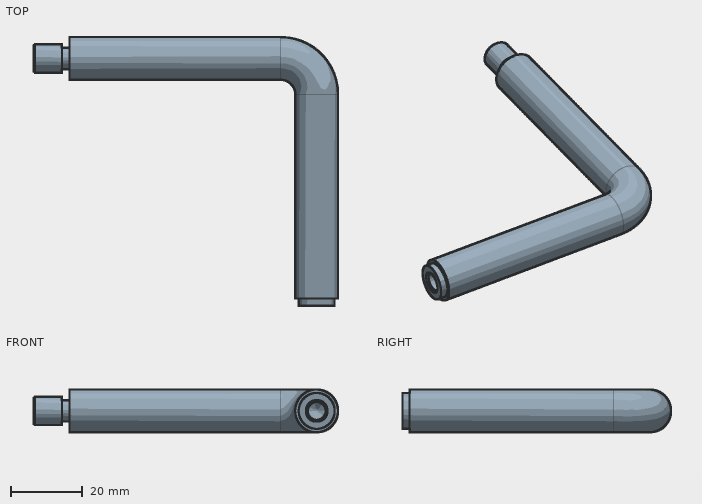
import cadquery as cq
import math

length_x = 85.0
length_y = 75.0
rod_diameter = 12.0
bend_radius = 10.0

stud_diameter = 8.0
stud_length = 8.0
stud_chamfer = 0.5
neck_diameter = 6.0
neck_length = 2.0

spigot_diameter = 10.0
spigot_length = 2.0
hole_diameter = 5.0
hole_mouth_diameter = 6.0
hole_depth = 10.0
drill_tip_angle = 118.0

rod_radius = rod_diameter / 2
stud_end_x = rod_radius - length_x
neck_start_x = stud_end_x + stud_length
rod_start_x = neck_start_x + neck_length
spigot_end_y = rod_radius - length_y
rod_end_y = spigot_end_y + spigot_length


def bent_rod():
    """Round rod running along +X, then turning through 90 degrees to -Y."""
    path = (
        cq.Workplane("XY")
        .moveTo(rod_start_x, 0)
        .lineTo(-bend_radius, 0)
        .tangentArcPoint((0, -bend_radius), relative=False)
        .lineTo(0, rod_end_y)
    )
    return cq.Workplane("YZ", origin=(rod_start_x, 0, 0)).circle(rod_radius).sweep(path)


def stud():
    """Chamfered stud joined to the rod by a narrower neck."""
    head = (
        cq.Workplane("YZ", origin=(stud_end_x, 0, 0))
        .circle(stud_diameter / 2)
        .extrude(stud_length)
        .faces("<X")
        .chamfer(stud_chamfer)
    )
    neck = (
        cq.Workplane("YZ", origin=(neck_start_x, 0, 0))
        .circle(neck_diameter / 2)
        .extrude(neck_length)
    )
    return head.union(neck)


def spigot():
    """Short reduced collar beyond the rod shoulder."""
    return (
        cq.Workplane("XZ", origin=(0, rod_end_y, 0))
        .circle(spigot_diameter / 2)
        .extrude(spigot_length)
    )


def blind_hole():
    """Drilled hole with a 45 degree mouth chamfer and a conical bottom."""
    hole_radius = hole_diameter / 2
    mouth_radius = hole_mouth_diameter / 2
    mouth_depth = mouth_radius - hole_radius
    tip_depth = hole_radius / math.tan(math.radians(drill_tip_angle / 2))
    bottom_y = spigot_end_y + hole_depth
    return (
        cq.Workplane("XY")
        .moveTo(0, spigot_end_y)
        .lineTo(mouth_radius, spigot_end_y)
        .lineTo(hole_radius, spigot_end_y + mouth_depth)
        .lineTo(hole_radius, bottom_y)
        .lineTo(0, bottom_y + tip_depth)
        .close()
        .revolve(360, (0, 0, 0), (0, 1, 0))
    )


result = bent_rod().union(stud()).union(spigot()).cut(blind_hole())